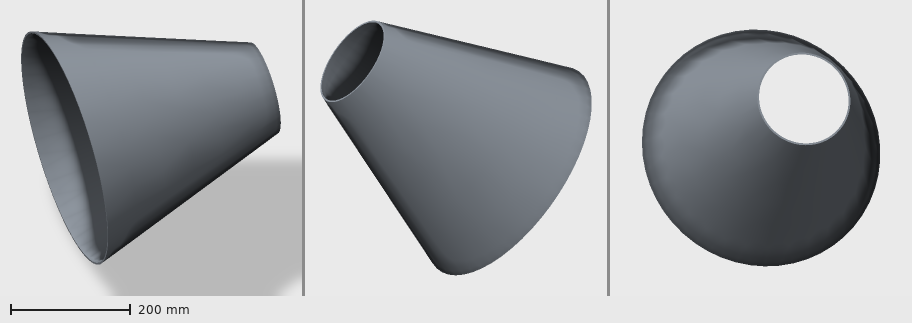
import math

import cadquery as cq

large_outer_diameter = 406.4
small_outer_diameter = 159.0
wall_thickness = 3.0
length = 356.0

large_outer_radius = large_outer_diameter / 2
small_outer_radius = small_outer_diameter / 2

half_cone_angle = math.atan2(large_outer_radius - small_outer_radius, length)
radial_wall = wall_thickness / math.cos(half_cone_angle)


def conical_shell():
    """Revolve the sloping wall section about the Y axis."""
    wall_section = (
        cq.Workplane("XY")
        .moveTo(large_outer_radius - radial_wall, 0)
        .lineTo(large_outer_radius, 0)
        .lineTo(small_outer_radius, length)
        .lineTo(small_outer_radius - radial_wall, length)
        .close()
    )
    return wall_section.revolve(360, (0, 0, 0), (0, 1, 0))


result = conical_shell()